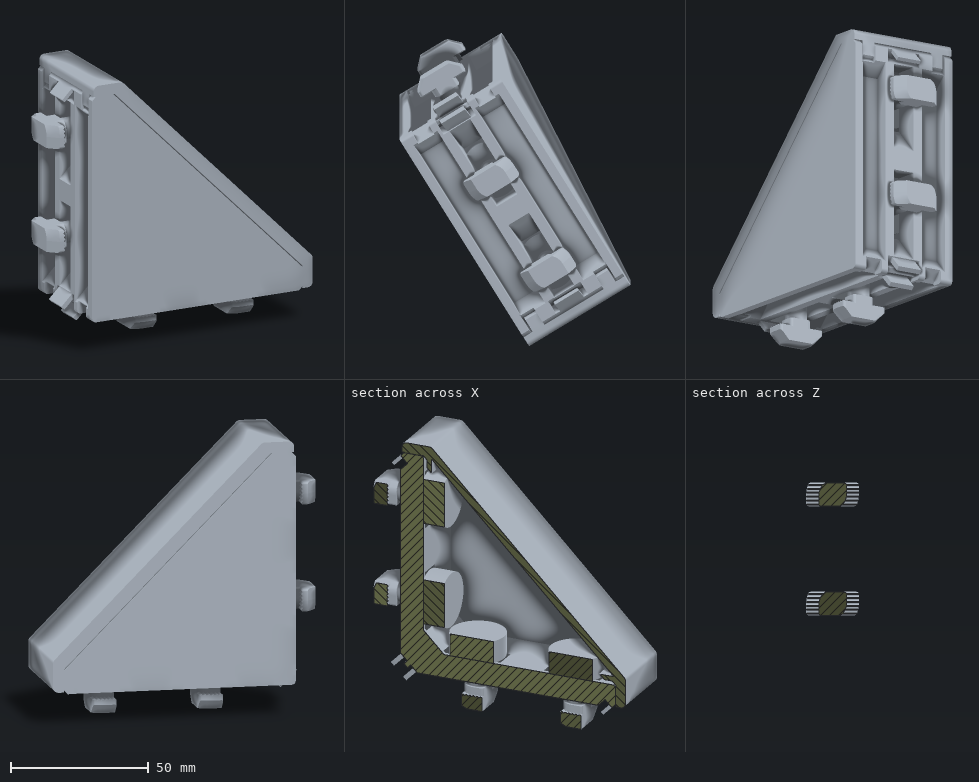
import cadquery as cq

WIDTH = 43.0
LEG = 90.1
COVER_WALL = 4.0
BRACKET_LEG = LEG - COVER_WALL
BRACKET_SLOPE_SUM = 94.7
BIG = 3 * LEG

SIDE_WALL = 3.3
INNER_HALF = WIDTH / 2 - SIDE_WALL
HEEL_RADIUS = 1.5
TOE_CHAMFER = 1.5
TOE_RISE = BRACKET_LEG - TOE_CHAMFER

SEAT_WALL = 9.3
CAVITY_CORNER_SUM = 26.7

COLUMN_HALF = 8.1
CHANNEL_DEPTH = 5.1
CHANNEL_RISE = 4.3
CHANNEL_SUM = 79.2

SLOT_WIDTH = 8.8
HEEL_SLOT_RISE = 6.8
HEEL_SLOT_TOP = 39.5
TOE_SLOT_RISE = 47.6
TOE_SLOT_TOP = CHANNEL_SUM

TAB_WIDTH = 10.1
HEEL_TAB_RISE = 6.1
HEEL_TAB_STEP = 2.5
TOE_TAB_STEP = 1.9
HEEL_TAB_TIP_SUM = -1.9
TOE_TAB_TIP_SUM = 77.2

TAB_POCKET_WIDTH = 13.8
HEEL_POCKET_SUM = 6.8
HEEL_POCKET_HALF_RISE = 1.5
HEEL_BLUNT_SUM = 4.1
TOE_POCKET_RISE = 79.1

HEEL_NOTCH_INSET = 5.0
HEEL_NOTCH_WIDTH = 6.9
HEEL_NOTCH_SUM = 5.6
TOE_NOTCH_INSET = 3.1
TOE_NOTCH_WIDTH = 5.7
TOE_NOTCH_RISE = 77.8

COVER_SETBACK = 0.6
COVER_KNEE = 12.3
COVER_RADIUS = 2.0
SLOPE_GAP = 0.6
COVER_INNER_SUM = BRACKET_SLOPE_SUM + SLOPE_GAP
COVER_POCKET_SUM = 97.8
LIP_INSET = 10.6
LIP_SUM = 92.2
LIP_WALL = 2.0
LIP_CLEARANCE = 0.3

HOOK_WIDTH = 4.9
HOOK_RISE = 78.5
HOOK_TIP_SUM = 81.4

BOLT_STATIONS = (28.5, 68.1)
SHANK_DIAMETER = 8.0
BOLT_THICKNESS = 8.6
NECK_START = 2.0
HEAD_START = 4.8
HEAD_TAPER_START = 7.1
BOLT_TIP = 10.7
NECK_HALF = 5.0
HEAD_HALF = 9.6
TIP_HALF = 6.0
BOLT_EDGE_RADIUS = 0.9
TOOTH_COUNT = 6
TOOTH_HEIGHT = 0.5
NUT_DIAMETER = 21.0
NUT_HEIGHT = 8.6


def prism(points, x_from, x_to):
    """Extrude a (Y, Z) polygon from x_from to x_to."""
    outline = cq.Workplane("YZ").workplane(offset=x_from).polyline(points).close()
    return outline.extrude(x_to - x_from)


def centred_prism(points, width):
    return prism(points, -width / 2, width / 2)


def corner(rise, total):
    """(Y, Z) point where Z - Y = rise meets Y + Z = total."""
    return ((total - rise) / 2, (total + rise) / 2)


def diagonal_mirror(body):
    """Swap Y and Z."""
    return cq.Workplane(body.val().mirror(cq.Vector(0, -1, 1)))


def cut_both_legs(body, tool):
    return body.cut(tool).cut(diagonal_mirror(tool))


def add_both_legs(body, feature):
    return body.union(feature).union(diagonal_mirror(feature))


def both_sides(points, inset, width):
    """Two prisms, each set in from one of the outer side faces."""
    outer = WIDTH / 2 - inset
    right = prism(points, outer - width, outer)
    return right, right.mirror("YZ")


def bracket_blank():
    shoulder = BRACKET_SLOPE_SUM - BRACKET_LEG
    outline = [
        (0, 0),
        (BRACKET_LEG - TOE_CHAMFER, 0),
        (BRACKET_LEG, TOE_CHAMFER),
        (BRACKET_LEG, shoulder),
        (shoulder, BRACKET_LEG),
        (TOE_CHAMFER, BRACKET_LEG),
        (0, BRACKET_LEG - TOE_CHAMFER),
    ]
    blank = centred_prism(outline, WIDTH)
    heel_edge = cq.selectors.NearestToPointSelector((0, 0, 0))
    return blank.edges("|X").edges(heel_edge).fillet(HEEL_RADIUS)


def nut_cavity():
    cut_corner = CAVITY_CORNER_SUM - SEAT_WALL
    outline = [
        (cut_corner, SEAT_WALL),
        (BIG, SEAT_WALL),
        (SEAT_WALL, BIG),
        (SEAT_WALL, cut_corner),
    ]
    return centred_prism(outline, 2 * INNER_HALF)


def channels():
    outline = [
        (0, CHANNEL_RISE),
        (CHANNEL_DEPTH, CHANNEL_RISE + CHANNEL_DEPTH),
        (CHANNEL_DEPTH, CHANNEL_SUM - CHANNEL_DEPTH),
        (0, CHANNEL_SUM),
    ]
    return both_sides(outline, SIDE_WALL, INNER_HALF - COLUMN_HALF)


def bolt_slot(rise, top, depth):
    outline = [(0, rise), (depth, rise + depth), (depth, top), (0, top)]
    return centred_prism(outline, SLOT_WIDTH)


def heel_pocket():
    """Both V pockets at the heel, joined where the heel is blunted."""
    outline = [
        (-BIG, HEEL_POCKET_SUM + BIG),
        corner(HEEL_POCKET_HALF_RISE, HEEL_POCKET_SUM),
        corner(HEEL_POCKET_HALF_RISE, HEEL_BLUNT_SUM),
        corner(-HEEL_POCKET_HALF_RISE, HEEL_BLUNT_SUM),
        corner(-HEEL_POCKET_HALF_RISE, HEEL_POCKET_SUM),
        (HEEL_POCKET_SUM + BIG, -BIG),
        (-BIG, -BIG),
    ]
    return centred_prism(outline, TAB_POCKET_WIDTH)


def toe_pocket():
    outline = [(0, TOE_POCKET_RISE), corner(TOE_POCKET_RISE, TOE_RISE), (0, TOE_RISE)]
    return centred_prism(outline, TAB_POCKET_WIDTH)


def tab(rise, step, root_sum, tip_sum):
    outline = [
        corner(rise, root_sum),
        corner(rise, tip_sum),
        corner(rise - step, tip_sum),
        corner(rise - step, root_sum),
    ]
    return centred_prism(outline, TAB_WIDTH)


def heel_notches():
    outline = [(-BIG, -BIG), (HEEL_NOTCH_SUM + BIG, -BIG), (-BIG, HEEL_NOTCH_SUM + BIG)]
    return both_sides(outline, HEEL_NOTCH_INSET, HEEL_NOTCH_WIDTH)


def toe_notches():
    outline = [(-BIG, TOE_NOTCH_RISE - BIG), (BIG, TOE_NOTCH_RISE + BIG), (-BIG, BIG)]
    return both_sides(outline, TOE_NOTCH_INSET, TOE_NOTCH_WIDTH)


def make_bracket():
    body = bracket_blank().cut(nut_cavity())
    for channel in channels():
        body = cut_both_legs(body, channel)
    heel_slot_depth = (CAVITY_CORNER_SUM - HEEL_SLOT_RISE) / 2
    body = cut_both_legs(body, bolt_slot(HEEL_SLOT_RISE, HEEL_SLOT_TOP, heel_slot_depth))
    body = cut_both_legs(body, bolt_slot(TOE_SLOT_RISE, TOE_SLOT_TOP, SEAT_WALL))
    body = body.cut(heel_pocket())
    body = cut_both_legs(body, toe_pocket())
    for notch in heel_notches():
        body = body.cut(notch)
    for notch in toe_notches():
        body = cut_both_legs(body, notch)
    body = add_both_legs(body, tab(HEEL_TAB_RISE, HEEL_TAB_STEP, HEEL_POCKET_SUM, HEEL_TAB_TIP_SUM))
    body = add_both_legs(body, tab(TOE_RISE, TOE_TAB_STEP, TOE_RISE, TOE_TAB_TIP_SUM))
    return body


def cover_shell():
    inner_knee = COVER_INNER_SUM - BRACKET_LEG
    outline = [
        (BRACKET_LEG, COVER_SETBACK),
        (LEG, COVER_SETBACK),
        (LEG, COVER_KNEE),
        (COVER_KNEE, LEG),
        (COVER_SETBACK, LEG),
        (COVER_SETBACK, BRACKET_LEG),
        (inner_knee, BRACKET_LEG),
        (BRACKET_LEG, inner_knee),
    ]
    shell = centred_prism(outline, WIDTH)
    outer_corners = outline[1:5]
    for y, z in outer_corners:
        at_corner = cq.selectors.NearestToPointSelector((0, y, z))
        shell = shell.edges("|X").edges(at_corner).fillet(COVER_RADIUS)
    return shell


def sloped_band(inset, sum_low, sum_high, half_width):
    """Slab along the sloped side, kept the inset away from both seat faces."""
    outline = [
        (inset, sum_low - inset),
        (inset, sum_high - inset),
        (sum_high - inset, inset),
        (sum_low - inset, inset),
    ]
    return centred_prism(outline, 2 * half_width)


def hooks():
    """Wedges on the cover that reach into the notches of one leg end."""
    outline = [
        (COVER_SETBACK, BRACKET_LEG),
        (COVER_SETBACK, HOOK_TIP_SUM - COVER_SETBACK),
        corner(HOOK_RISE, HOOK_TIP_SUM),
        (BRACKET_LEG - HOOK_RISE, BRACKET_LEG),
    ]
    inset = TOE_NOTCH_INSET + TOE_NOTCH_WIDTH - HOOK_WIDTH
    return both_sides(outline, inset, HOOK_WIDTH)


def make_cover():
    lip_half = INNER_HALF - LIP_CLEARANCE
    lip = sloped_band(LIP_INSET, LIP_SUM, COVER_INNER_SUM, lip_half)
    pocket = sloped_band(LIP_INSET + LIP_WALL, LIP_SUM, COVER_POCKET_SUM, lip_half - LIP_WALL)
    body = cover_shell().union(lip).cut(pocket)
    for wedge in hooks():
        body = add_both_legs(body, wedge)
    return body


def outer_upright_edges(quarter, thick_side):
    return quarter.edges("|Z").edges(thick_side).edges("not <X")


def bolt_quarters(half_profile, round_turned_edges):
    """Block about the Z axis, as thick as the bolt, with the given half profile.

    Two opposite quarters are turned about the axis, so that the head can turn into
    its groove, and the other two are square with rounded outer edges.
    """
    half_thickness = BOLT_THICKNESS / 2
    square = cq.Workplane("XZ").polyline(half_profile).close().extrude(-half_thickness)
    square = outer_upright_edges(square, ">Y").fillet(BOLT_EDGE_RADIUS)

    turned = cq.Workplane("XZ").polyline(half_profile).close().revolve(360, (0, 0), (0, 1))
    slab = cq.Workplane("XY").box(HEAD_HALF, half_thickness, BOLT_TIP, centered=False)
    turned = turned.intersect(slab.translate((0, -half_thickness, -BOLT_TIP)))
    if round_turned_edges:
        turned = outer_upright_edges(turned, "<Y").fillet(BOLT_EDGE_RADIUS)

    half = square.union(turned)
    return half.union(half.rotate((0, 0, 0), (0, 0, 1), 180))


def bolt_head():
    """Tapered crossbar with teeth along X on its clamping face."""
    half_profile = [
        (0, -HEAD_START),
        (HEAD_HALF, -HEAD_START),
        (HEAD_HALF, -HEAD_TAPER_START),
        (TIP_HALF, -BOLT_TIP),
        (0, -BOLT_TIP),
    ]
    head = bolt_quarters(half_profile, True)
    pitch = BOLT_THICKNESS / TOOTH_COUNT
    valley = [
        (-pitch / 2, -HEAD_START),
        (0, -HEAD_START - TOOTH_HEIGHT),
        (pitch / 2, -HEAD_START),
    ]
    groove = centred_prism(valley, 2 * HEAD_HALF)
    for index in range(TOOTH_COUNT + 1):
        head = head.cut(groove.translate((0, index * pitch - BOLT_THICKNESS / 2, 0)))
    return head


def bolt_neck():
    bottom = HEAD_START + TOOTH_HEIGHT
    half_profile = [
        (0, -NECK_START),
        (NECK_HALF, -NECK_START),
        (NECK_HALF, -bottom),
        (0, -bottom),
    ]
    return bolt_quarters(half_profile, False)


def make_bolt():
    """Hammer-head bolt pointing down, its axis on Z and its seat face at Z = 0."""
    shank_length = SEAT_WALL + NUT_HEIGHT + NECK_START
    shank = cq.Workplane("XY").workplane(offset=-NECK_START).circle(SHANK_DIAMETER / 2)
    return bolt_head().union(bolt_neck()).union(shank.extrude(shank_length))


def make_nut():
    ring = cq.Workplane("XY").workplane(offset=SEAT_WALL)
    return ring.circle(NUT_DIAMETER / 2).circle(SHANK_DIAMETER / 2).extrude(NUT_HEIGHT)


def place_on_legs(part):
    """Copies of a part at every bolt station of the bottom leg and the upright leg."""
    upright = part.rotate((0, 0, 0), (1, 0, 0), -90)
    copies = []
    for station in BOLT_STATIONS:
        copies.append(part.translate((0, station, 0)).val())
        copies.append(upright.translate((0, 0, station)).val())
    return copies


bracket = make_bracket()
cover = make_cover()
bolts = place_on_legs(make_bolt())
nuts = place_on_legs(make_nut())

result = cq.Compound.makeCompound([bracket.val(), cover.val(), *bolts, *nuts])